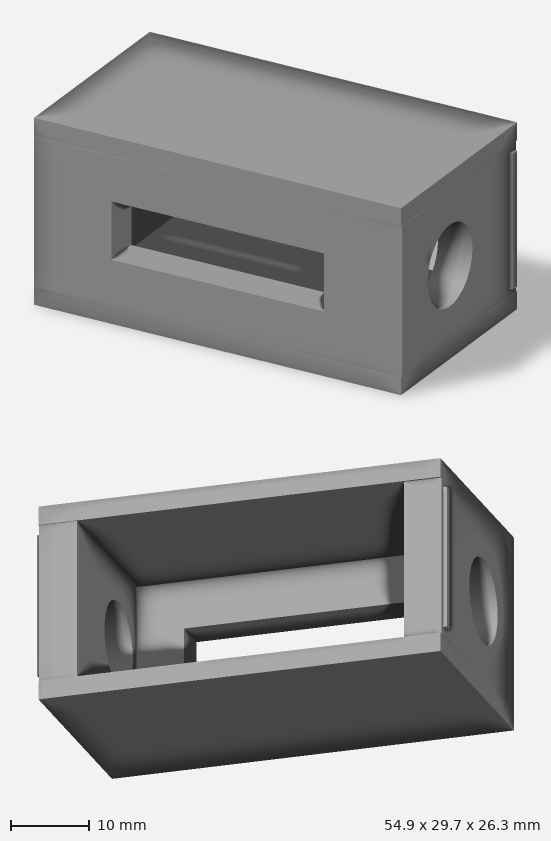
import cadquery as cq

length = 53.9
depth = 29.5
height = 26.3
plate_thickness = 2.5
wall_thickness = 5.05
turn_angle = -0.2

back_inset = 0.2
bore_diameter = 11.45
bore_from_front = 12.35
ridge_height = 19.1
ridge_width = 1.1
ridge_projection = 0.5
ridge_from_back = 0.8

panel_clearance = 0.1
window_length = 31.1
window_height = 8.2

front_y = -depth / 2
back_y = depth / 2
wall_height = height - 2 * plate_thickness
wall_depth = depth - back_inset
wall_center_x = (length - wall_thickness) / 2
inner_length = length - 2 * wall_thickness


def make_plate(side):
    """Top (side = 1) or bottom (side = -1) plate."""
    center_z = side * (height - plate_thickness) / 2
    plate = cq.Workplane("XY").box(length, depth, plate_thickness)
    return plate.rotate((0, 0, 0), (0, 0, 1), turn_angle).translate((0, 0, center_z))


def make_end_wall(side):
    """Right (side = 1) or left (side = -1) wall with its bore and outside ridge."""
    wall = (
        cq.Workplane("XY")
        .box(wall_thickness, wall_depth, wall_height)
        .translate((side * wall_center_x, front_y + wall_depth / 2, 0))
    )
    bore = (
        cq.Workplane("YZ")
        .center(front_y + bore_from_front, 0)
        .circle(bore_diameter / 2)
        .extrude(length / 2, both=True)
    )
    ridge_length = wall_thickness / 2 + ridge_projection
    ridge_x = side * (wall_center_x + ridge_length / 2)
    ridge_y = back_y - ridge_from_back - ridge_width / 2
    ridge = (
        cq.Workplane("XY")
        .box(ridge_length, ridge_width, ridge_height)
        .translate((ridge_x, ridge_y, 0))
    )
    return wall.union(ridge).cut(bore)


def make_front_panel():
    """Panel between the end walls, with a rectangular window through it."""
    panel = (
        cq.Workplane("XY")
        .box(inner_length, wall_thickness, wall_height - panel_clearance)
        .translate((0, 0, -panel_clearance / 2))
    )
    window = cq.Workplane("XY").box(window_length, wall_thickness, window_height)
    return panel.cut(window).translate((0, front_y + wall_thickness / 2, 0))


plates = [make_plate(side) for side in (-1, 1)]
end_walls = [make_end_wall(side) for side in (-1, 1)]
front_panel = make_front_panel()

bodies = [*plates, *end_walls, front_panel]
result = cq.Compound.makeCompound([body.val() for body in bodies])